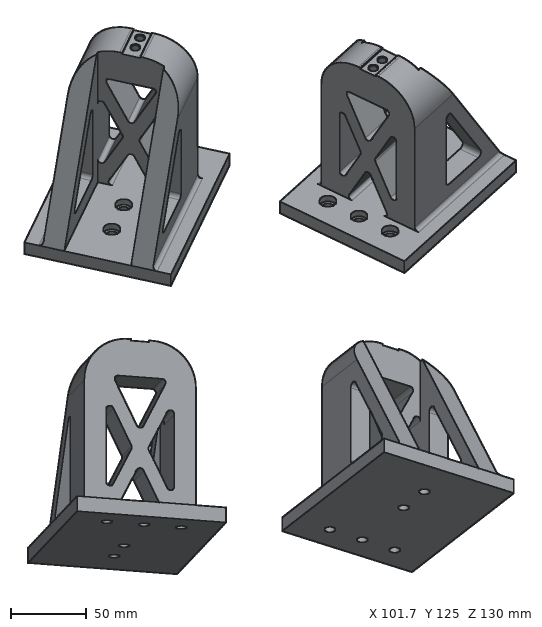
import cadquery as cq
import math

base_width = 101.7
base_depth = 125.0
base_height = 10.4
total_height = 130.0

tower_width = 76.2
tower_back = 96.2
web_thickness = 25.0
web_front = tower_back - web_thickness
inner_width = 46.3
crown_radius = 30.0
foot_fillet = 3.0

web_corner_radius = 2.5
side_corner_radius = 3.0
brace_center_z = 55.6
brace_slope = 2.0
brace_offset_z = 10.8
top_window_z = 104.3
side_window_back = 60.7
side_window_bottom = 23.7
side_window_rim = 10.0

hole_pitch = 25.4
first_hole_y = 30.2
back_hole_y = first_hole_y + 3 * hole_pitch
bolt_diameter = 7.2
counterbore_diameter = 11.2
counterbore_depth = 5.0

groove_width = 12.5
groove_depth = 1.0
crown_hole_diameter = 5.6
crown_hole_mouth = 6.8
crown_hole_depth = 15.0
crown_hole_pitch = 10.0
crown_hole_front_y = 80.2


def window_across_y(points):
    """Rounded prism through the rear web, from an XZ outline."""
    outline = cq.Workplane("XZ", origin=(0, tower_back, 0)).polyline(points).close()
    return outline.extrude(web_thickness).edges("|Y").fillet(web_corner_radius)


def make_base():
    return cq.Workplane("XY").box(base_width, base_depth, base_height, centered=(True, False, False))


def make_tower():
    half = tower_width / 2
    flare_inset = foot_fillet * (1 - math.sqrt(0.5))
    flare_top = base_height + foot_fillet
    blend_z = base_height + flare_inset
    crown_z = total_height - crown_radius
    crown_half = half - crown_radius
    arc_inset = crown_radius * math.sqrt(0.5)
    arch = (
        cq.Workplane("XZ", origin=(0, tower_back, 0))
        .moveTo(-half - foot_fillet, base_height)
        .lineTo(half + foot_fillet, base_height)
        .threePointArc((half + flare_inset, blend_z), (half, flare_top))
        .lineTo(half, crown_z)
        .threePointArc((crown_half + arc_inset, crown_z + arc_inset), (crown_half, total_height))
        .lineTo(-crown_half, total_height)
        .threePointArc((-crown_half - arc_inset, crown_z + arc_inset), (-half, crown_z))
        .lineTo(-half, flare_top)
        .threePointArc((-half - flare_inset, blend_z), (-half - foot_fillet, base_height))
        .close()
        .extrude(tower_back)
    )
    side = (
        cq.Workplane("YZ")
        .polyline([(0, base_height), (tower_back, base_height),
                   (tower_back, total_height), (web_front, total_height)])
        .close()
        .extrude(base_width / 2, both=True)
    )
    bay = cq.Workplane("XY", origin=(0, 0, base_height)).box(
        inner_width, web_front, total_height, centered=(True, False, False))
    return arch.intersect(side).cut(bay)


def make_web_windows():
    upper_tip = brace_center_z + brace_offset_z
    lower_tip = brace_center_z - brace_offset_z
    upper_half = (top_window_z - upper_tip) / brace_slope
    lower_half = (lower_tip - base_height) / brace_slope
    upper = window_across_y([(0, upper_tip), (upper_half, top_window_z), (-upper_half, top_window_z)])
    lower = window_across_y([(0, lower_tip), (lower_half, base_height), (-lower_half, base_height)])

    inner_x = brace_offset_z / brace_slope
    outer_x = inner_width / 2
    rise = (outer_x - inner_x) * brace_slope
    right = window_across_y([
        (inner_x, brace_center_z),
        (outer_x, brace_center_z + rise),
        (outer_x, brace_center_z - rise),
    ])
    return upper.union(lower).union(right).union(right.mirror("YZ"))


def make_side_windows():
    slope = (total_height - base_height) / web_front
    rim_drop = side_window_rim * math.hypot(1, slope)
    front_y = (side_window_bottom - base_height + rim_drop) / slope
    top_z = base_height + slope * side_window_back - rim_drop
    return (
        cq.Workplane("YZ")
        .polyline([(front_y, side_window_bottom), (side_window_back, side_window_bottom),
                   (side_window_back, top_z)])
        .close()
        .extrude(tower_width / 2, both=True)
        .edges("|X")
        .fillet(side_corner_radius)
    )


def make_crown_groove():
    return cq.Workplane("XY", origin=(0, 0, total_height - groove_depth)).box(
        groove_width, tower_back, groove_depth, centered=(True, False, False))


def cut_base_holes(body):
    positions = [(x, back_hole_y) for x in (-hole_pitch, 0, hole_pitch)]
    positions += [(0, first_hole_y), (0, first_hole_y + hole_pitch)]
    for x, y in positions:
        hole = cq.Workplane("XY", origin=(x, y, 0)).circle(bolt_diameter / 2).extrude(base_height)
        recess = (
            cq.Workplane("XY", origin=(x, y, base_height))
            .circle(counterbore_diameter / 2)
            .extrude(-counterbore_depth)
        )
        body = body.cut(hole).cut(recess)
    return body


def cut_crown_holes(body):
    mouth_z = total_height - groove_depth
    chamfer = (crown_hole_mouth - crown_hole_diameter) / 2
    for y in (crown_hole_front_y, crown_hole_front_y + crown_hole_pitch):
        bore = (
            cq.Workplane("XY", origin=(0, y, mouth_z))
            .circle(crown_hole_diameter / 2)
            .extrude(-crown_hole_depth)
        )
        mouth = (
            cq.Workplane("XY", origin=(0, y, mouth_z))
            .circle(crown_hole_mouth / 2)
            .extrude(-chamfer, taper=45)
        )
        body = body.cut(bore).cut(mouth)
    return body


body = make_base().union(make_tower())
body = body.cut(make_web_windows()).cut(make_side_windows()).cut(make_crown_groove())
result = cut_crown_holes(cut_base_holes(body))